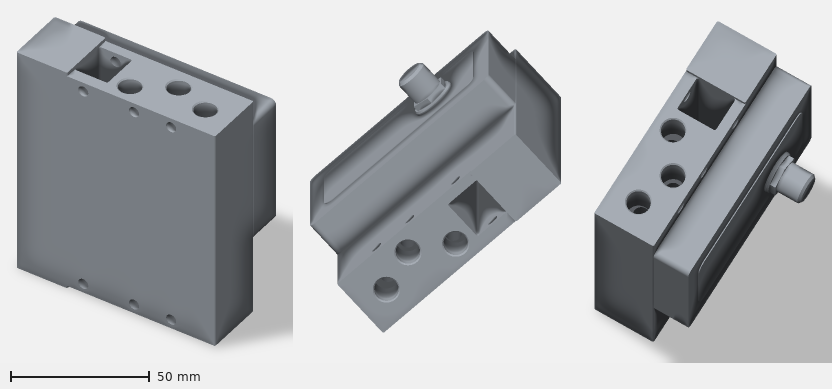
import cadquery as cq


WIDTH = 86.0
HEIGHT = 98.0
BLOCK_DEPTH = 25.0
EDGE_RADIUS = 0.6
HEAD_WIDTH = 22.05
BODY_BOTTOM = 1.1
BODY_TOP = 96.4
BODY_HEIGHT = BODY_TOP - BODY_BOTTOM
BODY_MIDDLE = (BODY_BOTTOM + BODY_TOP) / 2

WINDOW_WIDTH = 14.2
WINDOW_DEPTH = 16.2
WINDOW_FRONT = 4.8
WINDOW_RADIUS = 0.8

PORTS = [
    (44.0, 45.1, 7.9, 7.9),
    (59.0, 59.0, 17.0, 17.0),
    (74.2, 73.0, 11.6, 12.0),
]
PORT_DIAMETER = 8.8
PORT_DEPTH = 14.7
PORT_CHAMFER = 0.5
PASSAGE_DIAMETER = 6.0

MOUNT_XS = (29.0, 51.0, 67.0)
MOUNT_DIAMETER = 4.3
MOUNT_END_DISTANCE = 3.9

COVER_BOTTOM = 33.4
COVER_HEIGHT = 54.2
COVER_DEPTH = 14.6
COVER_RADIUS = 2.3
COVER_BACK = BLOCK_DEPTH + COVER_DEPTH

LABEL_LEFT = 7.1
LABEL_BOTTOM = 42.7
LABEL_WIDTH = 72.0
LABEL_HEIGHT = 35.3
LABEL_THICKNESS = 0.4
LABEL_RADIUS = 3.9

TOTAL_DEPTH = 53.6
CONNECTOR_X = 25.7
CONNECTOR_Z = 57.4
WASHER_DIAMETER = 16.7
WASHER_BACK = 41.6
WASHER_CHAMFER_LENGTH = 0.8
WASHER_CHAMFER_WIDTH = 0.4
NUT_CORNER_DIAMETER = 15.2
NUT_BACK = 43.8
PLUG_DIAMETER = 12.0
PLUG_CHAMFER = 1.0


def box(x, y, z, width, depth, height):
    """Box placed by its left, front, bottom corner."""
    return cq.Workplane("XY").box(width, depth, height, centered=False).translate((x, y, z))


def back_facing(y, x, z):
    """Workplane at depth y, centred on (x, z), extruding toward +Y."""
    return cq.Workplane("XZ", origin=(x, y, z)).transformed(rotate=(180, 0, 0))


def make_block():
    head = box(0, 0, 0, HEAD_WIDTH, BLOCK_DEPTH, HEIGHT).edges("|Z").fillet(EDGE_RADIUS)
    body = box(0, 0, BODY_BOTTOM, WIDTH, BLOCK_DEPTH, BODY_HEIGHT)
    return head.union(body.edges("|Z").fillet(EDGE_RADIUS))


def make_window():
    window = box(HEAD_WIDTH, WINDOW_FRONT, 0, WINDOW_WIDTH, WINDOW_DEPTH, HEIGHT)
    return window.edges("|Z").fillet(WINDOW_RADIUS)


def make_port(bore_x, passage_x, bore_y, passage_y):
    radius = PORT_DIAMETER / 2
    profile = [
        (0, BODY_TOP - PORT_DEPTH),
        (radius, BODY_TOP - PORT_DEPTH),
        (radius, BODY_TOP - PORT_CHAMFER),
        (radius + PORT_CHAMFER, BODY_TOP),
        (0, BODY_TOP),
    ]
    upper = cq.Workplane("XZ").polyline(profile).close().revolve(360, (0, 0), (0, 1))
    upper = upper.translate((bore_x, bore_y, 0))
    lower = upper.mirror("XY", (0, 0, BODY_MIDDLE))
    passage = cq.Workplane("XY").center(passage_x, passage_y).circle(PASSAGE_DIAMETER / 2).extrude(HEIGHT)
    return passage.union(upper).union(lower)


def make_mounting_holes():
    rows = (BODY_BOTTOM + MOUNT_END_DISTANCE, BODY_TOP - MOUNT_END_DISTANCE)
    points = [(x, z) for x in MOUNT_XS for z in rows]
    return cq.Workplane("XZ").pushPoints(points).circle(MOUNT_DIAMETER / 2).extrude(-BLOCK_DEPTH)


def make_cover():
    cover = box(0, BLOCK_DEPTH, COVER_BOTTOM, WIDTH, COVER_DEPTH, COVER_HEIGHT)
    cover = cover.edges("|Y").fillet(COVER_RADIUS)
    label = box(LABEL_LEFT, COVER_BACK, LABEL_BOTTOM, LABEL_WIDTH, LABEL_THICKNESS, LABEL_HEIGHT)
    return cover.union(label.edges("|Y").fillet(LABEL_RADIUS))


def make_connector():
    def base():
        return back_facing(COVER_BACK, CONNECTOR_X, CONNECTOR_Z)

    washer = base().circle(WASHER_DIAMETER / 2).extrude(WASHER_BACK - COVER_BACK)
    washer = washer.faces(">Y").chamfer(WASHER_CHAMFER_LENGTH, WASHER_CHAMFER_WIDTH)
    nut = base().transformed(rotate=(0, 0, 90)).polygon(6, NUT_CORNER_DIAMETER)
    nut = nut.extrude(NUT_BACK - COVER_BACK)
    plug = base().circle(PLUG_DIAMETER / 2).extrude(TOTAL_DEPTH - COVER_BACK)
    plug = plug.faces(">Y").chamfer(PLUG_CHAMFER)
    return washer.union(nut).union(plug)


result = make_block().cut(make_window()).cut(make_mounting_holes())
for port in PORTS:
    result = result.cut(make_port(*port))
result = result.union(make_cover()).union(make_connector())